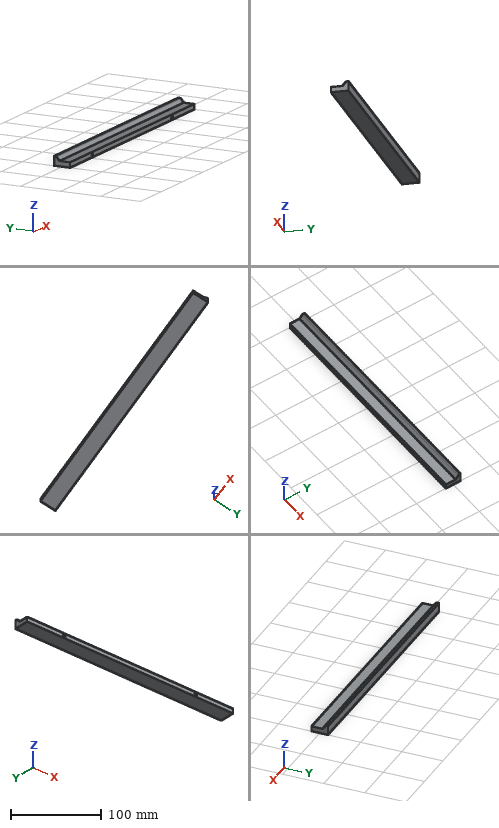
import cadquery as cq
import math

length = 300.0
depth = 20.0
height = 11.0

plate_height = 6.3
lip_foot_width = 7.0
lip_top_width = 2.7
edge_fillet = 1.5

hole_diameter = 3.3
hole_depth = 9.0
hole_spacing = 192.0
hole_height = 3.3
drill_point_angle = 118.0


def make_bar():
    """Extrude the plate-and-lip cross-section along X."""
    profile = [
        (0, 0),
        (depth, 0),
        (depth, height),
        (depth - lip_top_width, height),
        (depth - lip_foot_width, plate_height),
        (0, plate_height),
    ]
    bar = cq.Workplane("YZ").polyline(profile).close().extrude(length / 2, both=True)
    lip_crest = cq.selectors.NearestToPointSelector((0, depth - lip_top_width, height))
    return bar.edges(lip_crest).fillet(edge_fillet)


def make_hole(x):
    """Drilled hole running back from the front face to a conical bottom."""
    radius = hole_diameter / 2
    point_length = radius / math.tan(math.radians(drill_point_angle / 2))
    half_section = [
        (0, 0),
        (radius, 0),
        (radius, hole_depth),
        (0, hole_depth + point_length),
    ]
    drill = cq.Workplane("XY").polyline(half_section).close().revolve(360, (0, 0), (0, 1))
    return drill.translate((x, 0, hole_height))


result = make_bar()
for side in (-1, 1):
    result = result.cut(make_hole(side * hole_spacing / 2))